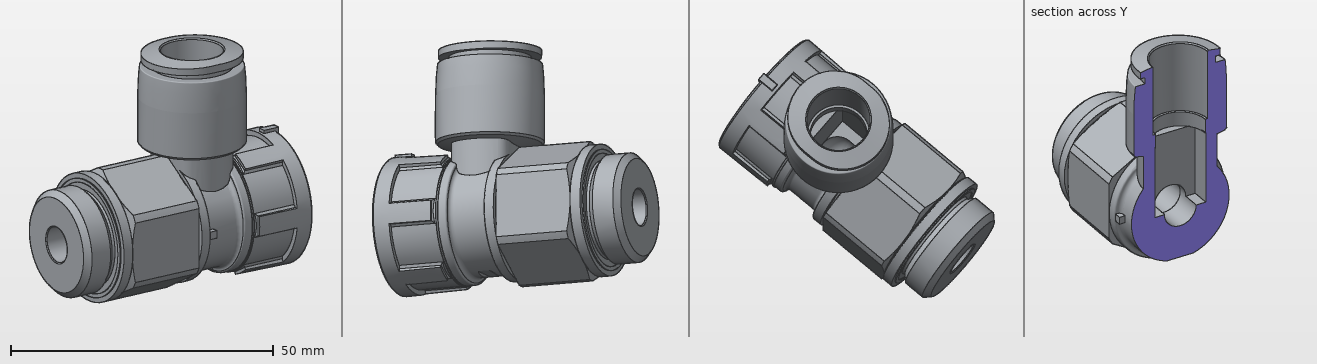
import cadquery as cq
import math


BORE_DIA = 7.0
BORE_CHAMFER = 0.2
STEM_FRONT = -31.0
THREAD_RADIUS = 21.0 / 2
THREAD_CHAMFER = 1.15
THREAD_REAR = -25.6
RELIEF_RADIUS = 9.35
RELIEF_FRONT = THREAD_REAR + (THREAD_RADIUS - RELIEF_RADIUS)
COLLAR_RADIUS = 23.2 / 2
COLLAR_FRONT = -24.2
RECESS_RADIUS = 10.85
RELIEF_ROUND = RECESS_RADIUS - RELIEF_RADIUS
WASHER_RADIUS = 25.2 / 2
WASHER_FRONT = -23.95
WASHER_REAR = -21.9
HEX_FRONT = -21.6
HEX_REAR = -6.35
HEX_ACROSS_FLATS = 24.0
HEX_CORNER_RADIUS = 26.85 / 2
HEX_CHAMFER_RADIUS = 12.05
HEX_CHAMFER_LENGTH = 0.65
STEM_NECK_RADIUS = 22.4 / 2

RING_FRONT = -5.85
RING_REAR = 5.6
FLANGE_RADIUS = 24.5 / 2
FLANGE_INNER = 3.8
FLANGE_ROUND = 0.4
WAIST_RADIUS = 21.8 / 2
WAIST_FILLET = 0.9
LIP_RADIUS = 12.4
LIP_REAR = 6.0
WAIST_FLAT_DEPTH = 0.4
WAIST_FLAT_WIDTH = 2.35
NUB_WIDTH = 1.5
NUB_HEIGHT = 1.55
NUB_INSET = 0.15
NUB_ROOT = 0.5

CAP_RADIUS = 26.65 / 2
LUG_COUNT = 6
LUG_WIDTH = 3.95
LUG_FRONT = 6.75
LUG_FOOT = 0.2
LUG_FOOT_ROOT = 0.5
LUG_FRONT_RADIUS = 13.1
RIM_FRONT = 15.35
RIM_REAR = 18.85
RIM_ROUND = 0.35
CAP_REAR = STEM_FRONT + 50.9

MARK_WIDTH = 1.55
CAP_MARK_FRONT = 15.95
CAP_MARK_REAR = 19.3
CAP_MARK_TOP = 13.9
PORT_MARK_HEIGHT = 0.7
PORT_MARK_BOTTOM = 16.7
PORT_MARK_TOP = 22.05

PORT_RADIUS = 20.8 / 2
PORT_TOP_RADIUS = 20.0 / 2
PORT_TOP = 30.2
PORT_CURVE_START = 24.15
PORT_BOTTOM = 14.55
PORT_TOP_ROUND = 0.2
PORT_BOTTOM_ROUND = 0.45
PORT_UNDERSIDE_RADIUS = 5.6
PORT_UNDERSIDE = 13.7
PORT_NECK_RADIUS = 8.25
PORT_NECK_DEPTH = -2 * RING_FRONT
PORT_NECK_BASE = 4.05
PORT_NECK_ROUND = 2.85

COLLET_RADIUS = 15.8 / 2
COLLET_FLANGE_WIDTH = 17.75
COLLET_FLANGE_LENGTH = 19.85
COLLET_FLANGE_BOTTOM = 31.45
COLLET_TOP = 46.8 - HEX_CORNER_RADIUS
COLLET_TOP_DROP = 0.6

TUBE_DIA = 12.0
TUBE_CHAMFER = 0.25
TUBE_STOP = 18.35
PASSAGE_DIA = 11.0
PASSAGE_BOTTOM = 15.3
SLOT_WIDTH = 11.2
SLOT_LENGTH = 7.6


def revolve_about_y(profile):
    """Solid of revolution about Y from a sketch in XY whose X is the radius."""
    return profile.close().revolve(360, (0, 0, 0), (0, 1, 0))


def cylinder_along_y(radius, front, rear):
    return cq.Workplane("XZ", origin=(0, front, 0)).circle(radius).extrude(front - rear)


def box_between(x_range, y_range, z_range):
    (x0, x1), (y0, y1), (z0, z1) = x_range, y_range, z_range
    return cq.Workplane("XY").box(x1 - x0, y1 - y0, z1 - z0, centered=False).translate((x0, y0, z0))


def make_hexagon():
    hexagon = (
        cq.Workplane("XZ", origin=(0, HEX_FRONT, 0))
        .polygon(6, HEX_ACROSS_FLATS / math.cos(math.pi / 6))
        .extrude(HEX_FRONT - HEX_REAR)
        .rotate((0, 0, 0), (0, 1, 0), 30)
    )
    turned_envelope = revolve_about_y(
        cq.Workplane("XY")
        .moveTo(0, HEX_FRONT)
        .lineTo(HEX_CHAMFER_RADIUS, HEX_FRONT)
        .lineTo(HEX_CORNER_RADIUS, HEX_FRONT + HEX_CHAMFER_LENGTH)
        .lineTo(HEX_CORNER_RADIUS, HEX_REAR)
        .lineTo(0, HEX_REAR)
    )
    return hexagon.intersect(turned_envelope)


def make_stem():
    turned_end = revolve_about_y(
        cq.Workplane("XY")
        .moveTo(0, STEM_FRONT)
        .lineTo(THREAD_RADIUS - THREAD_CHAMFER, STEM_FRONT)
        .lineTo(THREAD_RADIUS, STEM_FRONT + THREAD_CHAMFER)
        .lineTo(THREAD_RADIUS, THREAD_REAR)
        .lineTo(RELIEF_RADIUS, RELIEF_FRONT)
        .radiusArc((RECESS_RADIUS, RELIEF_FRONT + RELIEF_ROUND), RELIEF_ROUND)
        .lineTo(RECESS_RADIUS, COLLAR_FRONT)
        .lineTo(COLLAR_RADIUS, COLLAR_FRONT)
        .lineTo(COLLAR_RADIUS, HEX_FRONT)
        .lineTo(0, HEX_FRONT)
    )
    washer = cylinder_along_y(WASHER_RADIUS, WASHER_FRONT, WASHER_REAR)
    neck = cylinder_along_y(STEM_NECK_RADIUS, HEX_REAR, RING_FRONT)
    bore = cylinder_along_y(BORE_DIA / 2, STEM_FRONT, RING_FRONT)
    stem = turned_end.union(washer).union(make_hexagon()).union(neck).cut(bore)
    bore_rim = cq.selectors.BoxSelector(
        (-BORE_DIA, STEM_FRONT - 0.5, -BORE_DIA), (BORE_DIA, STEM_FRONT + 0.5, BORE_DIA), boundingbox=True
    )
    return stem.edges(bore_rim).chamfer(BORE_CHAMFER)


def make_ring():
    """Spool whose flanges are rounded at the rim and filleted into the waist."""
    round_start = FLANGE_RADIUS - FLANGE_ROUND
    fillet_end = WAIST_RADIUS + WAIST_FILLET
    half_waist = FLANGE_INNER - WAIST_FILLET
    return revolve_about_y(
        cq.Workplane("XY")
        .moveTo(0, RING_FRONT)
        .lineTo(FLANGE_RADIUS, RING_FRONT)
        .lineTo(FLANGE_RADIUS, -FLANGE_INNER - FLANGE_ROUND)
        .radiusArc((round_start, -FLANGE_INNER), -FLANGE_ROUND)
        .lineTo(fillet_end, -FLANGE_INNER)
        .radiusArc((WAIST_RADIUS, -half_waist), WAIST_FILLET)
        .lineTo(WAIST_RADIUS, half_waist)
        .radiusArc((fillet_end, FLANGE_INNER), WAIST_FILLET)
        .lineTo(round_start, FLANGE_INNER)
        .radiusArc((FLANGE_RADIUS, FLANGE_INNER + FLANGE_ROUND), -FLANGE_ROUND)
        .lineTo(FLANGE_RADIUS, RING_REAR)
        .lineTo(LIP_RADIUS, RING_REAR)
        .lineTo(LIP_RADIUS, LIP_REAR)
        .lineTo(0, LIP_REAR)
    )


def make_lug_foot():
    """Bevelled skirting that runs round the base of the lug on the +X side."""
    spread = 2 * (LUG_FOOT + LUG_FOOT_ROOT)
    return (
        cq.Workplane("YZ", origin=(FLANGE_RADIUS - LUG_FOOT_ROOT, (LUG_FRONT + RIM_FRONT) / 2, 0))
        .rect(RIM_FRONT - LUG_FRONT + spread, LUG_WIDTH + spread)
        .extrude(LUG_FOOT + LUG_FOOT_ROOT, taper=45)
    )


def make_cap():
    cap = revolve_about_y(
        cq.Workplane("XY")
        .moveTo(0, LUG_FRONT)
        .lineTo(LUG_FRONT_RADIUS, LUG_FRONT)
        .lineTo(CAP_RADIUS, RIM_REAR - RIM_ROUND)
        .lineTo(CAP_RADIUS - RIM_ROUND, RIM_REAR)
        .threePointArc((CAP_RADIUS / 2, CAP_REAR - (CAP_REAR - RIM_REAR) / 4), (0, CAP_REAR))
    )
    skirt_gaps = (
        cq.Workplane("XZ", origin=(0, LUG_FRONT, 0))
        .circle(CAP_RADIUS + 0.5)
        .circle(FLANGE_RADIUS)
        .extrude(LUG_FRONT - RIM_FRONT)
    )
    skirt_end = cylinder_along_y(FLANGE_RADIUS, LIP_REAR, LUG_FRONT)
    feet = []
    for index in range(LUG_COUNT):
        angle = index * 360 / LUG_COUNT
        lug_space = box_between(
            (0, CAP_RADIUS + 1), (LUG_FRONT, RIM_FRONT), (-LUG_WIDTH / 2, LUG_WIDTH / 2)
        ).rotate((0, 0, 0), (0, 1, 0), angle)
        skirt_gaps = skirt_gaps.cut(lug_space)
        feet.append(make_lug_foot().rotate((0, 0, 0), (0, 1, 0), angle))
    mark = box_between(
        (-MARK_WIDTH / 2, MARK_WIDTH / 2), (CAP_MARK_FRONT, CAP_MARK_REAR), (FLANGE_RADIUS, CAP_MARK_TOP)
    )
    cap = cap.cut(skirt_gaps).union(skirt_end).union(mark)
    for foot in feet:
        cap = cap.union(foot)
    return cap


def make_port_neck():
    """Column of round section with flattened, rounded-off front and rear faces."""
    base = cq.Workplane("XY", origin=(0, 0, PORT_NECK_BASE))
    height = PORT_BOTTOM - PORT_NECK_BASE
    slab = base.rect(2 * PORT_NECK_RADIUS + 0.5, PORT_NECK_DEPTH).extrude(height)
    return base.circle(PORT_NECK_RADIUS).extrude(height).intersect(slab).edges("|Z").fillet(PORT_NECK_ROUND)


def make_port_shell():
    shell = (
        cq.Workplane("XZ")
        .moveTo(0, PORT_UNDERSIDE)
        .lineTo(PORT_UNDERSIDE_RADIUS, PORT_UNDERSIDE)
        .lineTo(PORT_RADIUS - PORT_BOTTOM_ROUND, PORT_BOTTOM)
        .lineTo(PORT_RADIUS, PORT_BOTTOM + PORT_BOTTOM_ROUND)
        .lineTo(PORT_RADIUS, PORT_CURVE_START)
        .tangentArcPoint((PORT_TOP_RADIUS, PORT_TOP), relative=False)
        .lineTo(0, PORT_TOP)
        .close()
        .revolve()
        .faces(">Z")
        .edges()
        .fillet(PORT_TOP_ROUND)
    )
    mark_round = MARK_WIDTH / 2
    mark = (
        cq.Workplane("XZ", origin=(0, PORT_RADIUS + PORT_MARK_HEIGHT, 0))
        .moveTo(-mark_round, PORT_MARK_BOTTOM)
        .lineTo(mark_round, PORT_MARK_BOTTOM)
        .lineTo(mark_round, PORT_MARK_TOP - mark_round)
        .threePointArc((0, PORT_MARK_TOP), (-mark_round, PORT_MARK_TOP - mark_round))
        .close()
        .extrude(2 * PORT_MARK_HEIGHT)
    )
    return shell.union(mark)


def make_collet():
    neck = cq.Workplane("XY", origin=(0, 0, PORT_TOP)).circle(COLLET_RADIUS).extrude(
        COLLET_FLANGE_BOTTOM - PORT_TOP
    )
    flange = (
        cq.Workplane("XY", origin=(0, 0, COLLET_FLANGE_BOTTOM))
        .slot2D(COLLET_FLANGE_LENGTH, COLLET_FLANGE_WIDTH, 90)
        .extrude(COLLET_TOP - COLLET_FLANGE_BOTTOM)
    )
    sloping_top = (
        cq.Workplane("XZ")
        .moveTo(0, COLLET_FLANGE_BOTTOM)
        .lineTo(COLLET_FLANGE_LENGTH / 2, COLLET_FLANGE_BOTTOM)
        .lineTo(COLLET_FLANGE_LENGTH / 2, COLLET_TOP - COLLET_TOP_DROP)
        .lineTo(TUBE_DIA / 2 + TUBE_CHAMFER, COLLET_TOP)
        .lineTo(0, COLLET_TOP)
        .close()
        .revolve()
    )
    return neck.union(flange.intersect(sloping_top))


def make_socket():
    """Stepped round hole that takes the tube."""
    return (
        cq.Workplane("XZ")
        .moveTo(0, PASSAGE_BOTTOM)
        .lineTo(PASSAGE_DIA / 2, PASSAGE_BOTTOM)
        .lineTo(PASSAGE_DIA / 2, TUBE_STOP)
        .lineTo(TUBE_DIA / 2, TUBE_STOP)
        .lineTo(TUBE_DIA / 2, COLLET_TOP - TUBE_CHAMFER)
        .lineTo(TUBE_DIA / 2 + TUBE_CHAMFER, COLLET_TOP)
        .lineTo(0, COLLET_TOP)
        .close()
        .revolve()
    )


def make_slot():
    """Flat-floored slot from the socket down to the axis of the bore."""
    half_width = SLOT_WIDTH / 2
    half_length = SLOT_LENGTH / 2
    return box_between((-half_width, half_width), (-half_length, half_length), (0, PASSAGE_BOTTOM))


def make_round_ended_bore():
    """Bore from the front face whose ball end just reaches the rear wall of the slot."""
    radius = BORE_DIA / 2
    ball_centre = SLOT_LENGTH / 2 - radius
    return revolve_about_y(
        cq.Workplane("XY")
        .moveTo(0, RING_FRONT)
        .lineTo(radius, RING_FRONT)
        .lineTo(radius, ball_centre)
        .radiusArc((0, ball_centre + radius), -radius)
    )


def make_waist_flat():
    """Bevelled notch that leaves a narrow flat on the underside of the waist."""
    flat_z = -WAIST_RADIUS + WAIST_FLAT_DEPTH
    half_width = WAIST_FLAT_WIDTH / 2
    return (
        cq.Workplane("YZ", origin=(-WAIST_RADIUS, 0, 0))
        .moveTo(-half_width, flat_z)
        .lineTo(half_width, flat_z)
        .lineTo(half_width + WAIST_FLAT_DEPTH, -WAIST_RADIUS)
        .lineTo(-half_width - WAIST_FLAT_DEPTH, -WAIST_RADIUS)
        .close()
        .extrude(2 * WAIST_RADIUS)
    )


def make_elbow():
    nub = box_between(
        (WAIST_RADIUS - NUB_ROOT, FLANGE_RADIUS - NUB_INSET),
        (-FLANGE_INNER, -FLANGE_INNER + NUB_WIDTH),
        (-NUB_HEIGHT / 2, NUB_HEIGHT / 2),
    )
    body = make_ring().union(nub).cut(make_waist_flat()).union(make_cap())
    body = body.union(make_port_neck()).union(make_port_shell()).union(make_collet())
    return body.cut(make_socket()).cut(make_slot()).cut(make_round_ended_bore())


stem = make_stem()
elbow = make_elbow()

result = cq.Compound.makeCompound([stem.val(), elbow.val()])